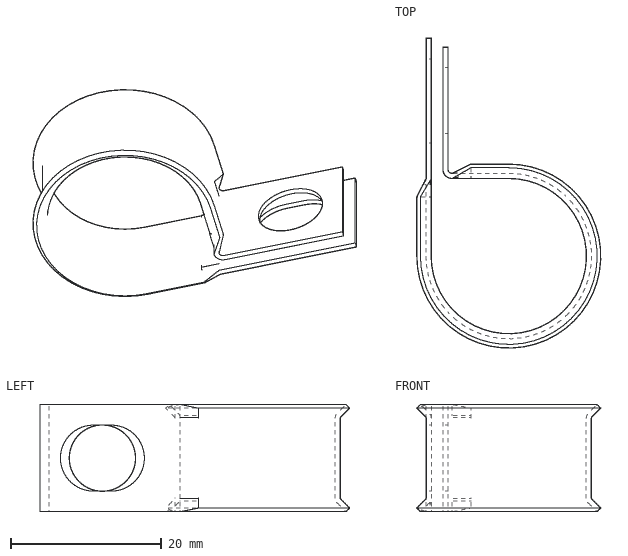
import cadquery as cq
import math

thickness = 0.7
half_width = 7.13
outer_radius = 11.0
inner_radius = outer_radius - thickness
loop_angle = 270

rim_radius = 12.25
fold_fillet = 0.2
rim_offset = thickness * math.sin(math.radians(45))
fold_shift = thickness * math.tan(math.radians(22.5))
rim_low_z = half_width - rim_offset
outer_fold_z = rim_low_z - (rim_radius - outer_radius)
inner_fold_z = outer_fold_z + fold_shift
fold_margin = 0.12
transition_low_z = outer_fold_z - fold_margin

long_plate_end = 28.95
short_plate_end = 27.75
short_plate_x = -8.77
bend_outer_radius = 1.25
bend_inner_radius = bend_outer_radius - thickness

long_flare_end = 7.85
long_flat_start = 10.3
short_flare_end = 5.03
short_flat_start = -short_plate_x - bend_outer_radius

hole_diameter = 8.77
slot_length = 11.15
hole_y = 20.65


def rim_outline(z_sign):
    """Corners of one flared edge, from the outer to the inner face."""
    return [
        (-outer_radius, z_sign * transition_low_z),
        (-outer_radius, z_sign * outer_fold_z),
        (-rim_radius, z_sign * rim_low_z),
        (-rim_radius + rim_offset, z_sign * half_width),
        (-inner_radius, z_sign * inner_fold_z),
        (-inner_radius, z_sign * transition_low_z),
    ]


def flat_outline(z_sign):
    """The same corners as the flared edge, flattened into the plate."""
    return [
        (-outer_radius, z_sign * transition_low_z),
        (-outer_radius, z_sign * outer_fold_z),
        (-outer_radius, z_sign * half_width),
        (-inner_radius, z_sign * half_width),
        (-inner_radius, z_sign * inner_fold_z),
        (-inner_radius, z_sign * transition_low_z),
    ]


def section_at(y):
    """Workplane across the long arm, with local axes along X and Z."""
    return cq.Workplane(cq.Plane(origin=(0, y, 0), xDir=(1, 0, 0), normal=(0, -1, 0)))


def box_between(low, high):
    size = [b - a for a, b in zip(low, high)]
    return cq.Workplane("XY").box(*size, centered=False).translate(low)


def flared_section(y):
    """Full strip section with both edges turned outwards."""
    upper = rim_outline(1)[1:-1]
    lower = rim_outline(-1)[-2:0:-1]
    return section_at(y).polyline(upper + lower).close()


def fillet_folds(body):
    """Round the two folds of a flared body, inside and outside."""
    middle_y = body.val().BoundingBox().center.y
    tolerance = 0.005
    for x, z, radius in (
        (-outer_radius, outer_fold_z, fold_fillet),
        (-inner_radius, inner_fold_z, fold_fillet + thickness),
    ):
        for z_sign in (1, -1):
            edge = cq.selectors.BoxSelector(
                (x - tolerance, middle_y - tolerance, z_sign * z - tolerance),
                (x + tolerance, middle_y + tolerance, z_sign * z + tolerance),
            )
            body = body.edges(edge).fillet(radius)
    return body


def flared_arm(flare_end, flat_start):
    """Straight arm leaving the loop along +Y, ending as a flat strip."""
    flared = fillet_folds(flared_section(flare_end).extrude(flare_end))
    arm = flared.union(box_between(
        (-outer_radius, flare_end, -transition_low_z),
        (-inner_radius, flat_start, transition_low_z),
    ))
    for z_sign in (1, -1):
        flared_wire = section_at(flare_end).polyline(rim_outline(z_sign)).close().val()
        flat_wire = section_at(flat_start).polyline(flat_outline(z_sign)).close().val()
        arm = arm.union(cq.Workplane(cq.Solid.makeLoft([flared_wire, flat_wire], True)))
    return arm


def loop():
    """Three quarters of a ring, from -X through -Y and +X to +Y."""
    straight = fillet_folds(flared_section(long_flare_end).extrude(long_flare_end))
    section = straight.faces("<Y").val()
    ring = cq.Solid.revolve(section, loop_angle, cq.Vector(0, 0, 0), cq.Vector(0, 0, 1))
    return cq.Workplane(ring)


def long_plate():
    plate = box_between(
        (-outer_radius, long_flat_start, -half_width),
        (-inner_radius, long_plate_end, half_width),
    )
    slot = (
        cq.Workplane("YZ", origin=(-outer_radius, hole_y, 0))
        .slot2D(slot_length, hole_diameter)
        .extrude(thickness)
    )
    return plate.cut(slot)


def short_plate():
    """Plate and the round bend that joins it to the arm along X."""
    inside_x = short_plate_x + thickness
    bend_x = short_plate_x + bend_outer_radius
    bend_y = inner_radius + bend_outer_radius
    diagonal = math.sqrt(0.5)
    outer_mid = (bend_x - bend_outer_radius * diagonal, bend_y - bend_outer_radius * diagonal)
    inner_mid = (bend_x - bend_inner_radius * diagonal, bend_y - bend_inner_radius * diagonal)
    plate = (
        cq.Workplane("XY", origin=(0, 0, -half_width))
        .moveTo(bend_x, inner_radius)
        .threePointArc(outer_mid, (short_plate_x, bend_y))
        .lineTo(short_plate_x, short_plate_end)
        .lineTo(inside_x, short_plate_end)
        .lineTo(inside_x, bend_y)
        .threePointArc(inner_mid, (bend_x, outer_radius))
        .close()
        .extrude(2 * half_width)
    )
    hole = (
        cq.Workplane("YZ", origin=(short_plate_x, hole_y, 0))
        .circle(hole_diameter / 2)
        .extrude(thickness)
    )
    return plate.cut(hole)


long_arm = flared_arm(long_flare_end, long_flat_start)

short_arm = (
    flared_arm(short_flare_end, short_flat_start)
    .mirror("XZ")
    .rotate((0, 0, 0), (0, 0, 1), -90)
)

result = loop().union(long_arm).union(short_arm).union(long_plate()).union(short_plate())